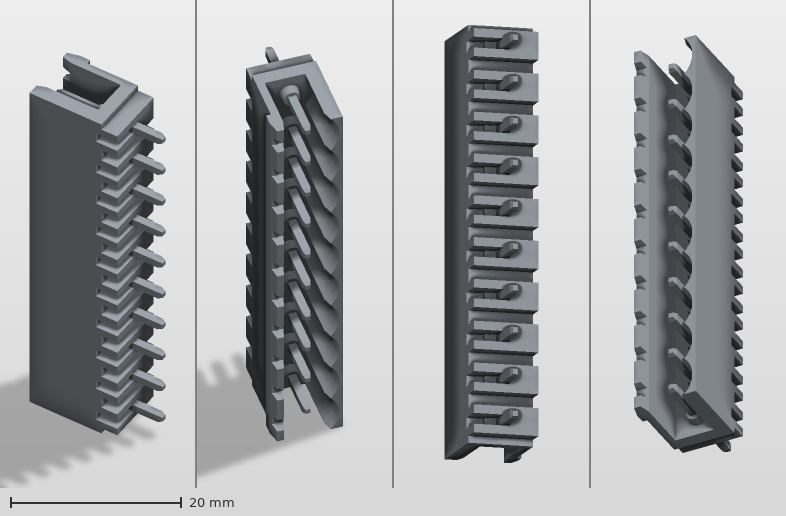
import cadquery as cq


LENGTH = 50.0
WAYS = 10
PITCH = LENGTH / WAYS
BODY_DEPTH = 12.2
BODY_HEIGHT = 7.9
CAVITY_DEPTH = 8.3
CAVITY_TOP = 6.9
CAVITY_BOTTOM = 1.9

RIDGE_TOP = 8.5
RIDGE_END = 3.0
INNER_LEAD_LENGTH = 1.45
OUTER_LEAD_LENGTH = 1.6
OUTER_LEAD = 0.4
INNER_LEAD = 0.35
NOTCH_DEPTH = 1.15
NOTCH_MOUTH_WIDTH = 1.85
NOTCH_FLOOR_WIDTH = 1.35

PIN_Y = 3.9
PIN_SIZE = 1.0
PIN_START = 1.2
PIN_END = 16.2
PIN_TAPER_LENGTH = 0.6
PIN_TIP_SIZE = 0.6
SCALLOP_RADIUS = 3.15
SCALLOP_MOUTH_RADIUS = 3.45
COLLAR_HEIGHT = 1.1
COLLAR_BASE_RADIUS = 1.25
COLLAR_TIP_RADIUS = 1.0

TOOTH_START = 10.0
TOOTH_WIDTH = 3.35
SLOT_START = 9.25
SLOT_STEP = 9.85
SLOT_WIDTH = 1.3
SLOT_SHALLOW_DEPTH = 2.0
SLOT_FULL_DEPTH = PIN_Y + PIN_SIZE / 2

way_centres = [(i + 0.5) * PITCH for i in range(WAYS)]


def box(x_range, y_range, z_range):
    """Axis-aligned box between the given limits."""
    sizes = [high - low for low, high in (x_range, y_range, z_range)]
    corner = (x_range[0], y_range[0], z_range[0])
    return cq.Workplane("XY").box(*sizes, centered=False).translate(corner)


def pin_axis_plane(x, z):
    """Plane facing +X, centred on the pin axis at height z."""
    return cq.Workplane("YZ", origin=(x, PIN_Y, z))


def cone(x, z, length, start_radius, end_radius):
    """Cone frustum along X on a pin axis."""
    return (
        pin_axis_plane(x, z).circle(start_radius)
        .workplane(offset=length).circle(end_radius).loft(ruled=True)
    )


def housing_profile():
    """U-shaped section with the latch ridge and tapered mouth."""
    points = [
        (0, 0),
        (BODY_DEPTH, 0),
        (BODY_DEPTH, BODY_HEIGHT),
        (RIDGE_END, BODY_HEIGHT),
        (RIDGE_END, RIDGE_TOP),
        (OUTER_LEAD_LENGTH, RIDGE_TOP),
        (0, RIDGE_TOP - OUTER_LEAD),
        (0, CAVITY_TOP + INNER_LEAD),
        (INNER_LEAD_LENGTH, CAVITY_TOP),
        (CAVITY_DEPTH, CAVITY_TOP),
        (CAVITY_DEPTH, CAVITY_BOTTOM),
        (0, CAVITY_BOTTOM),
    ]
    return cq.Workplane("XY").polyline(points).close().extrude(LENGTH)


def scallop(z):
    """Round recess with a flared mouth in the wall facing the latch."""
    recess = pin_axis_plane(0, z).circle(SCALLOP_RADIUS).extrude(CAVITY_DEPTH)
    flare = cone(0, z, INNER_LEAD_LENGTH, SCALLOP_MOUTH_RADIUS, SCALLOP_RADIUS)
    wall_side = box((0, CAVITY_DEPTH), (0, PIN_Y), (0, LENGTH))
    return recess.union(flare).intersect(wall_side)


def latch_notch(z):
    """Notch with flared sides across the edge of the latch wall."""
    mouth = NOTCH_MOUTH_WIDTH / 2
    floor = NOTCH_FLOOR_WIDTH / 2
    points = [(0, z - mouth), (0, z + mouth), (NOTCH_DEPTH, z + floor), (NOTCH_DEPTH, z - floor)]
    return (
        cq.Workplane("XZ", origin=(0, RIDGE_TOP, 0))
        .polyline(points).close().extrude(RIDGE_TOP - PIN_Y)
    )


def tooth_gap(low, high):
    """Gap across the base between two teeth."""
    return box((TOOTH_START, BODY_DEPTH), (0, BODY_HEIGHT), (low, high))


def pin_slot(z):
    """Stepped slot in the -Y side of a tooth, reaching the pin tail."""
    z_range = (z - SLOT_WIDTH / 2, z + SLOT_WIDTH / 2)
    shallow = box((SLOT_START, BODY_DEPTH), (0, SLOT_SHALLOW_DEPTH), z_range)
    deep = box((SLOT_STEP, BODY_DEPTH), (0, SLOT_FULL_DEPTH), z_range)
    return shallow.union(deep)


def pin(z):
    """Square pin with tapered tips and a round collar on the cavity floor."""
    shank_start = PIN_START + PIN_TAPER_LENGTH
    shank_end = PIN_END - PIN_TAPER_LENGTH
    shank = pin_axis_plane(shank_start, z).rect(PIN_SIZE, PIN_SIZE).extrude(shank_end - shank_start)
    front_tip = (
        pin_axis_plane(PIN_START, z).rect(PIN_TIP_SIZE, PIN_TIP_SIZE)
        .workplane(offset=PIN_TAPER_LENGTH).rect(PIN_SIZE, PIN_SIZE).loft(ruled=True)
    )
    tail_tip = front_tip.mirror("YZ", ((PIN_START + PIN_END) / 2, 0, 0))
    collar = cone(
        CAVITY_DEPTH - COLLAR_HEIGHT, z, COLLAR_HEIGHT, COLLAR_TIP_RADIUS, COLLAR_BASE_RADIUS
    )
    return shank.union(front_tip).union(tail_tip).union(collar)


result = housing_profile()

for centre in way_centres:
    result = result.cut(scallop(centre)).cut(latch_notch(centre)).cut(pin_slot(centre))

for way in range(WAYS + 1):
    half_gap = (PITCH - TOOTH_WIDTH) / 2
    middle = way * PITCH
    result = result.cut(tooth_gap(max(middle - half_gap, 0), min(middle + half_gap, LENGTH)))

for centre in way_centres:
    result = result.union(pin(centre))